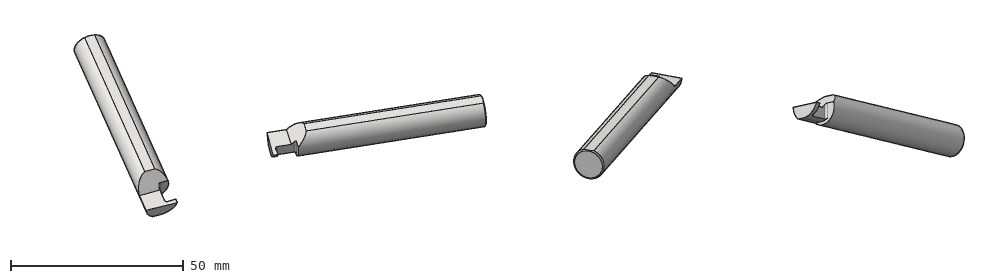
import cadquery as cq
import math

length = 63.5
radius = 4.75
flat_height = 4.5
chamfer_axial = 0.3
chamfer_radial = 0.45

shelf_start = 57.4
ramp_start = shelf_start - flat_height

slot_start = 55.95
slot_end = 62.05
slot_floor = math.sqrt(radius**2 - flat_height**2)
slot_fillet = 0.65
clearance_angle = math.radians(2)
front_drop_angle = math.radians(1)

relief_radius = 5.8
relief_depth = 3.8
relief_center_z = relief_radius - relief_depth
relief_center_y = radius - math.sqrt(relief_radius**2 - relief_center_z**2)

oversize = 2 * radius


def make_shank():
    """Turned bar with a chamfered rear end."""
    profile = [
        (0, 0),
        (0, radius - chamfer_radial),
        (chamfer_axial, radius),
        (length, radius),
        (length, 0),
    ]
    return cq.Workplane("XY").polyline(profile).close().revolve(360, (0, 0), (1, 0))


def make_top_cut():
    """Space above the long flat, the ramp and the shelf."""
    outline = [
        (0, flat_height),
        (ramp_start, flat_height),
        (shelf_start, 0),
        (length, 0),
        (length, oversize),
        (0, oversize),
    ]
    return cq.Workplane("XZ").polyline(outline).close().extrude(oversize, both=True)


def make_slot_cut():
    """Side slot whose head wall leans to narrow the head towards its root."""
    lean = math.tan(clearance_angle)
    outline = [
        (slot_start, slot_floor),
        (slot_end + (radius - slot_floor) * lean, slot_floor),
        (slot_end - (oversize - radius) * lean, oversize),
        (slot_start, oversize),
    ]
    slot = cq.Workplane("XY").polyline(outline).close().extrude(oversize, both=True)
    return slot.edges("|Z and <Y").fillet(slot_fillet)


def make_relief_cut():
    """Space below the relief: a flat underside that curves up to the cutting tip."""
    tip_angle = math.atan2(-relief_center_z, radius - relief_center_y)
    middle_angle = (tip_angle - math.pi / 2) / 2
    arc_middle = (
        relief_center_y + relief_radius * math.cos(middle_angle),
        relief_center_z + relief_radius * math.sin(middle_angle),
    )
    return (
        cq.Workplane("YZ", origin=(slot_start, 0, 0))
        .moveTo(-oversize, -relief_depth)
        .lineTo(relief_center_y, -relief_depth)
        .threePointArc(arc_middle, (radius, 0))
        .lineTo(oversize, 0)
        .lineTo(oversize, -oversize)
        .lineTo(-oversize, -oversize)
        .close()
        .extrude(length - slot_start)
    )


def make_end_cut():
    """Front clearance, leaning back from the cutting tip in both -Y and -Z."""
    lean = math.tan(clearance_angle)
    drop = math.tan(front_drop_angle)
    tip = (length, radius, 0)
    end_cut_size = 4 * oversize
    plane = cq.Plane(origin=tip, xDir=(lean, 1, 0), normal=(1, -lean, -drop))
    return cq.Workplane(plane).rect(end_cut_size, end_cut_size).extrude(oversize)


result = (
    make_shank()
    .cut(make_top_cut())
    .cut(make_relief_cut())
    .cut(make_slot_cut())
    .cut(make_end_cut())
)